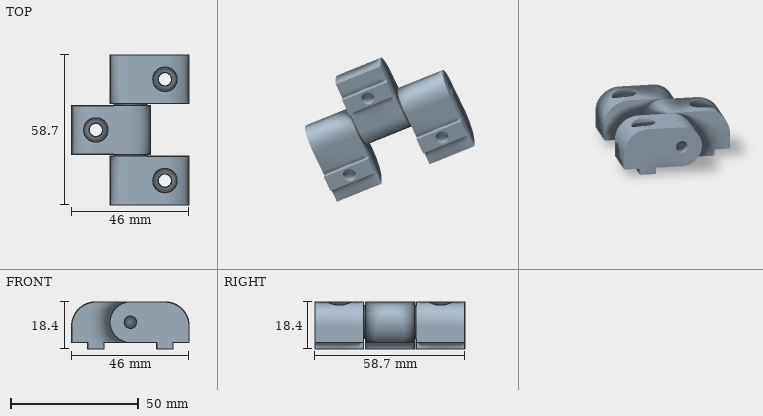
import cadquery as cq


hinge_length = 58.65

leaf_width = 19.05
leaf_height = 15.9
leaf_reach = 23.0
corner_radius = 9.5
knuckle_radius = leaf_height / 2

foot_width = 6.5
foot_height = 2.5

screw_x = leaf_reach - corner_radius
screw_hole_diameter = 5.15
screw_head_diameter = 9.5
screw_head_depth = 5.0

washer_thickness = (hinge_length - 3 * leaf_width) / 2
washer_diameter = 12.9
pin_diameter = 4.8
pin_recess = 5.0

leaf_pitch = leaf_width + washer_thickness
pin_length = hinge_length - 2 * pin_recess


def axial_cylinder(diameter, length, y_center):
    """Cylinder on the hinge axis, centred at y_center."""
    return (
        cq.Workplane("XZ", origin=(0, y_center + length / 2, 0))
        .circle(diameter / 2)
        .extrude(length)
    )


def make_leaf(y_center):
    """Leaf pointing to +X, with a round knuckle on the hinge axis."""
    top = knuckle_radius
    bottom = -knuckle_radius
    corner_offset = corner_radius * 0.5 ** 0.5
    corner_middle = (screw_x + corner_offset, top - corner_radius + corner_offset)
    body = (
        cq.Workplane("XZ", origin=(0, y_center + leaf_width / 2, 0))
        .moveTo(0, top)
        .lineTo(screw_x, top)
        .threePointArc(corner_middle, (leaf_reach, top - corner_radius))
        .lineTo(leaf_reach, bottom)
        .lineTo(0, bottom)
        .threePointArc((-knuckle_radius, 0), (0, top))
        .close()
        .extrude(leaf_width)
    )
    foot = (
        cq.Workplane("XY", origin=(screw_x, y_center, bottom - foot_height))
        .rect(foot_width, leaf_width)
        .extrude(foot_height)
    )
    pin_hole = axial_cylinder(pin_diameter, leaf_width, y_center)
    leaf = body.union(foot).cut(pin_hole)
    return (
        leaf.copyWorkplane(cq.Workplane("XY", origin=(screw_x, y_center, top)))
        .cboreHole(screw_hole_diameter, screw_head_diameter, screw_head_depth)
    )


outer_leaves = [make_leaf(side * leaf_pitch) for side in (-1, 1)]
middle_leaf = make_leaf(0).rotate((0, 0, 0), (0, 0, 1), 180)


def make_washer(y_center):
    """Washer filling the gap between two neighbouring leaves."""
    disc = axial_cylinder(washer_diameter, washer_thickness, y_center)
    return disc.cut(axial_cylinder(pin_diameter, washer_thickness, y_center))


washers = [make_washer(side * leaf_pitch / 2) for side in (-1, 1)]

pin = axial_cylinder(pin_diameter, pin_length, 0)

result = cq.Compound.makeCompound([
    *[leaf.val() for leaf in outer_leaves],
    middle_leaf.val(),
    *[washer.val() for washer in washers],
    pin.val(),
])